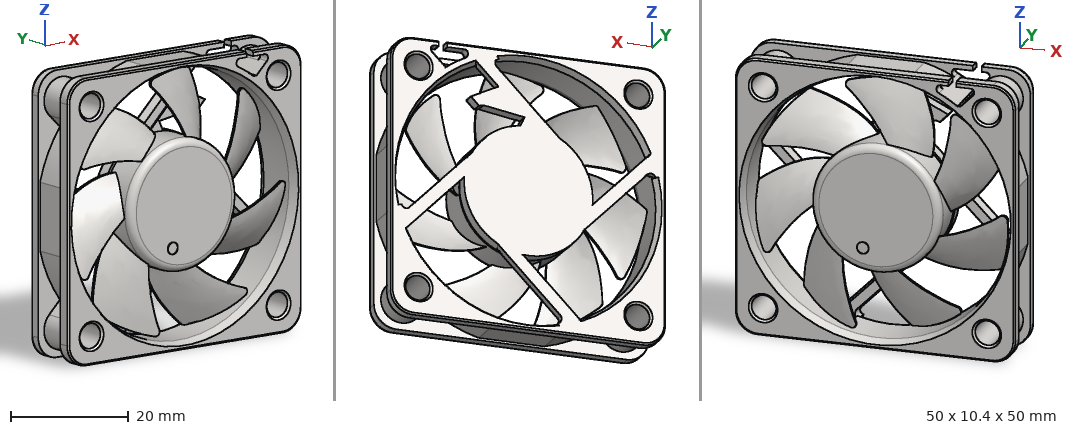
import cadquery as cq
import math

SIDE = 50.0
DEPTH = 10.35
CORNER_RADIUS = 4.0
EDGE_CHAMFER = 0.3
FRONT_FLANGE = 2.25
BACK_FLANGE = 2.0
BACK_FLANGE_Y = DEPTH - BACK_FLANGE

BORE_RADIUS = 23.7
BORE_MOUTH_RADIUS = 24.3
FRONT_MOUTH_DEPTH = 2.0
BACK_MOUTH_DEPTH = 1.4
RING_RADIUS = 25.32
RING_FLAT = 24.6

HOLE_OFFSET = 20.0
HOLE_RADIUS = 2.2
HOLE_CHAMFER = 0.4
BOSS_RADIUS = 3.75

WINDOW_TOP = 24.05
WINDOW_LEFT = 11.0
WINDOW_CORNER = 0.7
FRONT_SLOT = (13.15, 14.55)
BACK_SLOT = (14.75, 16.3)
WINDOW_FLOOR = (14.8, 15.4)
WINDOW_FLOOR_Z = 20.6
WINDOW_FLOOR_BACK_Y = 9.35

BASE_RADIUS = 11.7
SPOKE_INNER = 8.95
SPOKE_OUTER = 11.25
SPOKE_COUNT = 4
SPOKE_TAPER = 8.0
SPOKE_FILLET = 0.8
BASE_FRONT_Y = 8.1
TAB_OUTLINE = [
    (-1.7, 11.4),
    (5.1, 18.3),
    (10.5, 15.7),
    (9.0, 14.2),
    (8.2, 14.4),
    (0.7, 13.2),
    (1.5, 11.5),
]

HUB_RADIUS = 11.6
HUB_ROUND = 1.4
HUB_FRONT_Y = 0.35
HUB_BACK_Y = 7.6
MARK_CENTRE = (-2.3, -7.17)
MARK_RADIUS = 1.05
MARK_DEPTH = 0.1

BLADE_COUNT = 7
BLADE_TIP_RADIUS = 23.0
BLADE_ROOT_RADIUS = 10.8
BLADE_CORNER = 0.8
BLADE_THICKNESS = 0.45
BLADE_FRONT_Y = 1.8
BLADE_CAMBER = 1.5
LEADING_EDGE = [(BLADE_ROOT_RADIUS, 79.5), (14.6, 91.5), (17.6, 97.5), (BLADE_TIP_RADIUS, 107.3)]
TRAILING_EDGE = [(BLADE_ROOT_RADIUS, 43.5), (16.4, 59.8), (19.2, 67.0), (BLADE_TIP_RADIUS, 75.5)]
BLADE_SECTIONS = [(10.3, 60.5, 7.0), (17.0, 79.0, 7.6), (23.4, 91.5, 8.2)]
SECTION_HALF_ANGLE = 19.0


def plane_at(y):
    """Sketch plane facing the front at depth y: local axes are X and Z."""
    return cq.Workplane("XZ", origin=(0, y, 0))


def disc(radius, y_start, y_end):
    return plane_at(y_start).circle(radius).extrude(y_start - y_end)


def polar(radius, degrees):
    angle = math.radians(degrees)
    return (radius * math.cos(angle), radius * math.sin(angle))


def turned(body, degrees):
    return body.rotate((0, 0, 0), (0, 1, 0), degrees)


def flange(y_start, thickness, outer_face):
    plate = plane_at(y_start).rect(SIDE, SIDE).extrude(-thickness)
    plate = plate.edges("|Y").fillet(CORNER_RADIUS)
    return plate.faces(outer_face).chamfer(EDGE_CHAMFER)


def corner_boss(degrees):
    """Round boss around a mounting hole, carried inward to the ring by a straight web."""
    reach = HOLE_OFFSET * math.sqrt(2)
    length = DEPTH - 2 * EDGE_CHAMFER
    web_length = reach - BORE_RADIUS
    boss = plane_at(EDGE_CHAMFER).center(reach, 0).circle(BOSS_RADIUS).extrude(-length)
    web = (
        plane_at(EDGE_CHAMFER)
        .center(reach - web_length / 2, 0)
        .rect(web_length, 2 * BOSS_RADIUS)
        .extrude(-length)
    )
    return turned(boss.union(web), degrees)


def bore_mouth(face_y, depth):
    """Cone that widens the bore toward a face; a negative depth runs toward the front."""
    direction = cq.Vector(0, math.copysign(1, depth), 0)
    start = cq.Vector(0, face_y, 0)
    return cq.Workplane(cq.Solid.makeCone(BORE_MOUTH_RADIUS, BORE_RADIUS, abs(depth), start, direction))


def mounting_holes():
    """Mounting holes, countersunk on the front and back faces."""
    rim = HOLE_RADIUS + HOLE_CHAMFER
    profile = (
        cq.Workplane("XY")
        .moveTo(0, 0)
        .lineTo(rim, 0)
        .lineTo(HOLE_RADIUS, HOLE_CHAMFER)
        .lineTo(HOLE_RADIUS, DEPTH - HOLE_CHAMFER)
        .lineTo(rim, DEPTH)
        .lineTo(0, DEPTH)
        .close()
    )
    hole = profile.revolve(360, (0, 0, 0), (0, 1, 0)).val()
    centres = [(x, z) for x in (-HOLE_OFFSET, HOLE_OFFSET) for z in (-HOLE_OFFSET, HOLE_OFFSET)]
    return cq.Workplane().newObject([hole.translate(cq.Vector(x, 0, z)) for x, z in centres]).combine()


def cable_window():
    """Opening bounded by the ring, the web of the corner boss and a thin top rail."""
    web_offset = BOSS_RADIUS * math.sqrt(2)
    block = (
        plane_at(0)
        .moveTo(WINDOW_LEFT, WINDOW_TOP)
        .lineTo(WINDOW_TOP - web_offset, WINDOW_TOP)
        .lineTo(WINDOW_LEFT, WINDOW_LEFT + web_offset)
        .close()
        .extrude(-DEPTH)
    )
    window = block.cut(disc(RING_RADIUS, 0, DEPTH))
    return window.edges("|Y").edges(">Z or <X").fillet(WINDOW_CORNER)


def window_floor():
    """Small flat that fills the notch where the ring meets the web of the boss."""
    left, right = WINDOW_FLOOR
    height = WINDOW_FLOOR_Z - HOLE_OFFSET
    return (
        plane_at(0)
        .center((left + right) / 2, HOLE_OFFSET + height / 2)
        .rect(right - left, height)
        .extrude(-WINDOW_FLOOR_BACK_Y)
    )


def cable_slot(slot, y_start, thickness):
    left, right = slot
    return (
        plane_at(y_start)
        .moveTo(left, WINDOW_TOP - WINDOW_CORNER)
        .lineTo(right, WINDOW_TOP - WINDOW_CORNER)
        .lineTo(right, SIDE / 2)
        .lineTo(left, SIDE / 2)
        .close()
        .extrude(-thickness)
    )


def spoke():
    """Straight spoke offset from the axis, with sloping flanks and a fillet at the ring."""
    fillet_offset = SPOKE_OUTER + SPOKE_FILLET
    fillet_reach = BORE_RADIUS - SPOKE_FILLET
    fillet_x = math.sqrt(fillet_reach**2 - fillet_offset**2)
    ring_x = fillet_x * BORE_RADIUS / fillet_reach
    ring_z = fillet_offset * BORE_RADIUS / fillet_reach
    middle_angle = math.degrees(math.atan2(ring_z - fillet_offset, ring_x - fillet_x)) / 2 - 45
    middle_x, middle_z = polar(SPOKE_FILLET, middle_angle)
    overlap = (BORE_RADIUS + RING_RADIUS) / 2 / BORE_RADIUS
    bar = (
        plane_at(DEPTH)
        .moveTo(0, SPOKE_INNER)
        .lineTo(math.sqrt((BORE_RADIUS * overlap) ** 2 - SPOKE_INNER**2), SPOKE_INNER)
        .lineTo(ring_x * overlap, ring_z * overlap)
        .lineTo(ring_x, ring_z)
        .threePointArc((fillet_x + middle_x, fillet_offset + middle_z), (fillet_x, SPOKE_OUTER))
        .lineTo(0, SPOKE_OUTER)
        .close()
        .extrude(BACK_FLANGE, taper=SPOKE_TAPER)
    )
    return turned(bar, -45)


def make_frame():
    body = flange(0, FRONT_FLANGE, "<Y").union(flange(BACK_FLANGE_Y, BACK_FLANGE, ">Y"))
    duct_blank = plane_at(EDGE_CHAMFER).rect(2 * RING_FLAT, 2 * RING_FLAT)
    duct_blank = duct_blank.extrude(2 * EDGE_CHAMFER - DEPTH)
    body = body.union(duct_blank.intersect(disc(RING_RADIUS, 0, DEPTH)))
    for corner in range(4):
        body = body.union(corner_boss(45 + 90 * corner))

    body = body.cut(disc(BORE_RADIUS, 0, DEPTH))
    body = body.cut(bore_mouth(0, FRONT_MOUTH_DEPTH))
    body = body.cut(bore_mouth(DEPTH, -BACK_MOUTH_DEPTH))
    body = body.cut(mounting_holes())

    body = body.cut(cable_window())
    body = body.cut(cable_slot(FRONT_SLOT, 0, FRONT_FLANGE))
    body = body.cut(cable_slot(BACK_SLOT, BACK_FLANGE_Y, BACK_FLANGE))

    body = body.union(window_floor())

    base = disc(BASE_RADIUS, BASE_FRONT_Y, DEPTH)
    tab = plane_at(DEPTH).polyline(TAB_OUTLINE).close().extrude(DEPTH - BASE_FRONT_Y)
    base = base.union(tab)
    for index in range(SPOKE_COUNT):
        base = base.union(turned(spoke(), index * 360 / SPOKE_COUNT))
    return body.union(base)


def blade_outline():
    """Straight-through prism with the front outline of a blade and rounded tip corners."""
    leading = [polar(*point) for point in LEADING_EDGE]
    trailing = [polar(*point) for point in reversed(TRAILING_EDGE)]
    tip_middle = polar(BLADE_TIP_RADIUS, (LEADING_EDGE[-1][1] + TRAILING_EDGE[-1][1]) / 2)
    prism = (
        plane_at(0)
        .moveTo(*leading[0])
        .spline(leading[1:], includeCurrent=True)
        .threePointArc(tip_middle, trailing[0])
        .spline(trailing[1:], includeCurrent=True)
        .close()
        .extrude(-DEPTH)
    )
    tip_corners = prism.edges("|Y").filter(lambda e: math.hypot(e.Center().x, e.Center().z) > HUB_RADIUS)
    return prism.newObject(tip_corners.vals()).fillet(BLADE_CORNER)


def blade_section(distance, degrees, back_y):
    """Cambered blade section, square to the radius at the given angle."""
    radial_x, radial_z = polar(1, degrees)
    radial = cq.Vector(radial_x, 0, radial_z)
    chord = cq.Vector(radial.z, 0, -radial.x)
    half_chord = distance * math.tan(math.radians(SECTION_HALF_ANGLE))
    middle_y = (BLADE_FRONT_Y + back_y) / 2 - BLADE_CAMBER

    def point(along, y):
        return radial * distance + chord * along + cq.Vector(0, y, 0)

    front = [
        point(-half_chord, BLADE_FRONT_Y),
        point(0, middle_y),
        point(half_chord, back_y),
    ]
    back = [p + cq.Vector(0, BLADE_THICKNESS, 0) for p in front]
    return cq.Wire.assembleEdges(
        [
            cq.Edge.makeThreePointArc(*front),
            cq.Edge.makeLine(front[2], back[2]),
            cq.Edge.makeThreePointArc(*reversed(back)),
            cq.Edge.makeLine(back[0], front[0]),
        ]
    )


def make_rotor():
    hub = disc(HUB_RADIUS, HUB_FRONT_Y, HUB_BACK_Y)
    hub = hub.faces("<Y").edges().fillet(HUB_ROUND)
    mark = plane_at(HUB_FRONT_Y).center(*MARK_CENTRE).circle(MARK_RADIUS).extrude(-MARK_DEPTH)
    rotor = hub.cut(mark)
    surface = cq.Solid.makeLoft([blade_section(*section) for section in BLADE_SECTIONS])
    blade = cq.Workplane(surface).intersect(blade_outline())
    for index in range(BLADE_COUNT):
        rotor = rotor.union(turned(blade, index * 360 / BLADE_COUNT))
    return rotor


frame = make_frame()
rotor = make_rotor()

result = cq.Compound.makeCompound([frame.val(), rotor.val()])